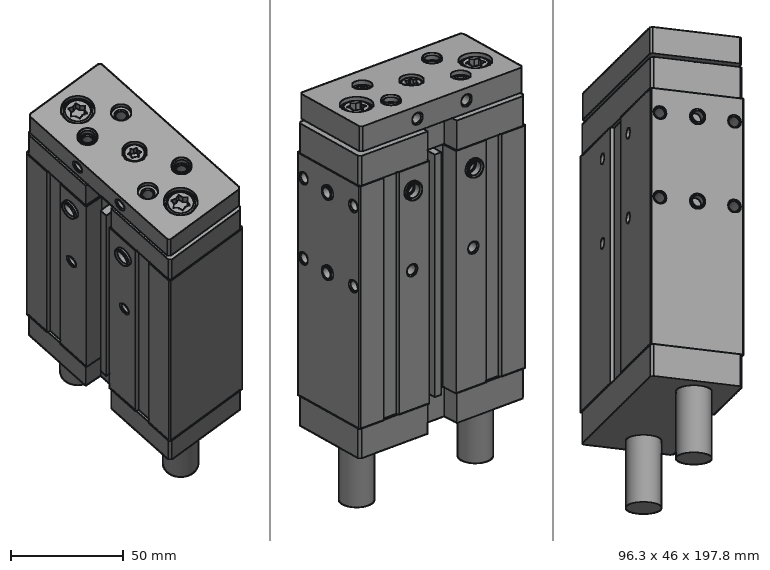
import cadquery as cq
import math


foot_bottom = 31.6
profile_bottom = 46.7
profile_top = 167.5
head_top = 182.4
plate_bottom = 184.3
plate_top = 196.8
plate_sleeve_top = 197.8
plate_thickness = plate_top - plate_bottom

profile_width = 95.3
profile_depth = 44.0
profile_chamfer = 0.5
notch_floor_y = -13.0
notch_width = 15.5
notch_flare = 0.4
rib_width = 3.8
rib_setback = 3.4
sensor_slot_offset = 29.3
sensor_slot_width = 8.9
sensor_slot_depth = 1.5
sensor_slot_flare = 0.5
back_recess_width = 14.2
back_recess_depth = 2.0

cap_width = 94.5
cap_depth = 43.1
cap_chamfer = 1.2
cap_notch_width = 16.8

plate_width = 93.0
plate_depth = 43.0
plate_chamfer = 1.0
guide_rod_diameter = 16.0
guide_rod_offset = 34.0
guide_rod_y = -3.2
piston_rod_diameter = 10.0

thread_diameter = 5.0
thread_mouth_diameter = 6.1
thread_depth = 9.9
drill_point_angle = 118.0

profile_hole_spacing = 35.0
profile_hole_offset = profile_hole_spacing / 2
upper_hole_z = 156.3
lower_hole_z = 116.3
plate_front_hole_offset = 14.0
plate_hole_x = 20.0
plate_hole_y = 10.0

sleeve_diameter = 9.0
sleeve_bore = 6.7
sleeve_tip_diameter = 8.5
sleeve_mouth_diameter = 8.1
sleeve_taper_length = 0.8
sleeve_seat_depth = 2.2
plate_sleeve_protrusion = plate_sleeve_top - plate_top
front_sleeve_protrusion = 2.0
side_sleeve_diameter = 7.0
side_sleeve_bore = 5.3
side_sleeve_protrusion = 1.0
side_sleeve_seat_depth = 3.0

screw_recess_depth = 2.2
screw_head_drop = 1.0
star_depth = 3.5
star_root_ratio = 0.7
star_tips = 6
guide_screw_recess = 15.0
guide_screw_head = 13.0
guide_screw_bevel = 0.8
guide_screw_star = 8.7
piston_screw_recess = 11.0
piston_screw_head = 10.0
piston_screw_bevel = 0.5
piston_screw_star = 6.0

BACKWARD = cq.Vector(0, 1, 0)
RIGHTWARD = cq.Vector(1, 0, 0)
DOWNWARD = cq.Vector(0, 0, -1)


def block(width, depth, bottom, top, center_y=0.0):
    """Upright block centred on X = 0."""
    base = cq.Workplane("XY", origin=(0, center_y, bottom))
    return base.rect(width, depth).extrude(top - bottom)


def cylinder(diameter, length, start, direction):
    """Cylinder that runs from start along direction."""
    solid = cq.Solid.makeCylinder(diameter / 2, length, cq.Vector(*start), direction)
    return cq.Workplane(obj=solid)


def cone(start_diameter, end_diameter, length, start, direction):
    """Cone that runs from start along direction."""
    solid = cq.Solid.makeCone(
        start_diameter / 2, end_diameter / 2, length, cq.Vector(*start), direction
    )
    return cq.Workplane(obj=solid)


def countersink(start, direction):
    """Conical mouth of a threaded hole."""
    depth = (thread_mouth_diameter - thread_diameter) / 2
    return cone(thread_mouth_diameter, thread_diameter, depth, start, direction)


def blind_thread(start, direction):
    """Blind threaded hole with a countersunk mouth and a conical end."""
    point_start = cq.Vector(*start) + direction * thread_depth
    point_length = thread_diameter / 2 / math.tan(math.radians(drill_point_angle / 2))
    hole = cylinder(thread_diameter, thread_depth, start, direction)
    point = cone(thread_diameter, 0, point_length, point_start.toTuple(), direction)
    return hole.union(point).union(countersink(start, direction))


def tube(diameter, bore_diameter, length, start, direction):
    """Round tube that runs from start along direction."""
    body = cylinder(diameter, length, start, direction)
    return body.cut(cylinder(bore_diameter, length, start, direction))


def sleeve_tip(mouth, protrusion, direction):
    """Outer end of a sleeve seated at a hole mouth; direction points into the hole."""
    return (cq.Vector(*mouth) - direction * protrusion).toTuple()


def large_sleeve(protrusion, mouth, direction):
    """Sleeve for the plate and the profile front, tapered outside and inside at its outer end."""
    tip = sleeve_tip(mouth, protrusion, direction)
    shoulder = (cq.Vector(*tip) + direction * sleeve_taper_length).toTuple()
    shank_length = protrusion + sleeve_seat_depth - sleeve_taper_length
    shank = tube(sleeve_diameter, sleeve_bore, shank_length, shoulder, direction)
    collar = cone(sleeve_tip_diameter, sleeve_diameter, sleeve_taper_length, tip, direction)
    collar = collar.cut(cone(sleeve_mouth_diameter, sleeve_bore, sleeve_taper_length, tip, direction))
    return shank.union(collar)


def small_sleeve(mouth):
    """Plain sleeve for the left side of the profile."""
    tip = sleeve_tip(mouth, side_sleeve_protrusion, RIGHTWARD)
    length = side_sleeve_protrusion + side_sleeve_seat_depth
    return tube(side_sleeve_diameter, side_sleeve_bore, length, tip, RIGHTWARD)


def groove(mouth_width, flare, front, floor, bottom, top, center_x=0.0):
    """Cutter for a vertical groove in a front face; each wall leans outward by flare."""
    half_mouth = mouth_width / 2
    half_floor = half_mouth - flare
    outline = [(-half_mouth, front), (-half_floor, floor), (half_floor, floor), (half_mouth, front)]
    base = cq.Workplane("XY", origin=(center_x, 0, bottom))
    return base.polyline(outline).close().extrude(top - bottom)


profile_front = -profile_depth / 2
profile_left = -profile_width / 2
upper_front_mouths = [(s * profile_hole_offset, profile_front, upper_hole_z) for s in (-1, 1)]
lower_front_mouths = [(s * profile_hole_offset, profile_front, lower_hole_z) for s in (-1, 1)]
side_sleeve_mouths = [(profile_left, 0, z) for z in (lower_hole_z, upper_hole_z)]
side_thread_mouths = [
    (profile_left, s * profile_hole_offset, z)
    for s in (-1, 1)
    for z in (lower_hole_z, upper_hole_z)
]
plate_mouths = [(x * plate_hole_x, y * plate_hole_y, plate_top) for x in (-1, 1) for y in (-1, 1)]
plate_sleeve_mouths = [(s * plate_hole_x, s * plate_hole_y, plate_top) for s in (-1, 1)]
guide_rod_places = [(s * guide_rod_offset, guide_rod_y) for s in (-1, 1)]


def guide_rod(x, y):
    """Guide rod from its free lower end to the plate."""
    return cylinder(guide_rod_diameter, plate_bottom, (x, y, 0), cq.Vector(0, 0, 1))


def piston_rod():
    """Piston rod from the top of the profile to the plate."""
    length = plate_bottom - profile_top
    return cylinder(piston_rod_diameter, length, (0, 0, profile_top), cq.Vector(0, 0, 1))


def front_groove(width, flare, floor, center_x=0.0):
    """Groove cutter over the full height of the profile front."""
    return groove(width, flare, profile_front, floor, profile_bottom, profile_top, center_x)


def make_profile():
    """Extruded profile with its slots, side holes and guide rod bores."""
    body = block(profile_width, profile_depth, profile_bottom, profile_top)
    body = body.edges("|Z").chamfer(profile_chamfer)

    body = body.cut(front_groove(notch_width, notch_flare, notch_floor_y))
    rib_height = notch_floor_y - profile_front - rib_setback
    rib = block(rib_width, rib_height, profile_bottom, profile_top, notch_floor_y - rib_height / 2)
    body = body.union(rib)

    slot_floor_y = profile_front + sensor_slot_depth
    for x in (-sensor_slot_offset, sensor_slot_offset):
        body = body.cut(front_groove(sensor_slot_width, sensor_slot_flare, slot_floor_y, x))
    profile_back = profile_depth / 2
    body = body.cut(
        block(back_recess_width, 2 * back_recess_depth, profile_bottom, profile_top, profile_back)
    )

    for mouth in upper_front_mouths + lower_front_mouths:
        body = body.cut(cylinder(thread_diameter, profile_depth, mouth, BACKWARD))
    for mouth in upper_front_mouths:
        body = body.cut(cylinder(sleeve_diameter, sleeve_seat_depth, mouth, BACKWARD))
    for mouth in lower_front_mouths:
        body = body.cut(countersink(mouth, BACKWARD))

    for mouth in side_thread_mouths:
        body = body.cut(blind_thread(mouth, RIGHTWARD))
    for mouth in side_sleeve_mouths:
        body = body.cut(cylinder(side_sleeve_diameter, side_sleeve_seat_depth, mouth, RIGHTWARD))

    for place in guide_rod_places:
        body = body.cut(guide_rod(*place))
    return body


def make_cap(bottom, top):
    """End cap with the front notch and the guide rod bores."""
    body = block(cap_width, cap_depth, bottom, top).edges("|Z").chamfer(cap_chamfer)
    body = body.cut(groove(cap_notch_width, notch_flare, -cap_depth / 2, notch_floor_y, bottom, top))
    for place in guide_rod_places:
        body = body.cut(guide_rod(*place))
    return body


def star(center, tip_radius, root_radius, first_tip_angle, depth):
    """Six-pointed star socket sunk from center downward."""
    points = []
    for i in range(2 * star_tips):
        radius = tip_radius if i % 2 == 0 else root_radius
        angle = math.radians(first_tip_angle) + i * math.pi / star_tips
        points.append((radius * math.cos(angle), radius * math.sin(angle)))
    return cq.Workplane("XY", origin=center).polyline(points).close().extrude(-depth)


def add_screw_head(body, x, y, recess, head, bevel, star_size, first_tip_angle):
    """Screw head standing in a round recess of the plate top, with a star socket."""
    head_z = plate_top - screw_head_drop
    body = body.cut(cylinder(recess, screw_recess_depth, (x, y, plate_top), DOWNWARD))
    screw_head = cylinder(head, screw_recess_depth - screw_head_drop, (x, y, head_z), DOWNWARD)
    body = body.union(screw_head.faces(">Z").chamfer(bevel))
    root_size = star_size * star_root_ratio
    return body.cut(star((x, y, head_z), star_size / 2, root_size / 2, first_tip_angle, star_depth))


def make_yoke():
    """Tool plate with the guide rods, the piston rod and their screw heads."""
    body = block(plate_width, plate_depth, plate_bottom, plate_top).edges("|Z").chamfer(plate_chamfer)
    for mouth in plate_mouths:
        body = body.cut(cylinder(sleeve_diameter, sleeve_seat_depth, mouth, DOWNWARD))
        body = body.cut(cylinder(thread_diameter, plate_thickness, mouth, DOWNWARD))
        seat = (mouth[0], mouth[1], plate_top - sleeve_seat_depth)
        body = body.cut(countersink(seat, DOWNWARD))
    for side in (-1, 1):
        mouth = (side * plate_front_hole_offset, -plate_depth / 2, plate_bottom + plate_thickness / 2)
        body = body.cut(blind_thread(mouth, BACKWARD))
    for x, y in guide_rod_places:
        body = body.union(guide_rod(x, y))
        body = add_screw_head(
            body, x, y, guide_screw_recess, guide_screw_head, guide_screw_bevel, guide_screw_star, 90
        )
    body = body.union(piston_rod())
    return add_screw_head(
        body, 0, 0, piston_screw_recess, piston_screw_head, piston_screw_bevel, piston_screw_star, 0
    )


profile = make_profile()
head_cap = make_cap(profile_top, head_top).cut(piston_rod())
foot_cap = make_cap(foot_bottom, profile_bottom)
yoke = make_yoke()
plate_sleeves = [
    large_sleeve(plate_sleeve_protrusion, mouth, DOWNWARD) for mouth in plate_sleeve_mouths
]
front_sleeves = [
    large_sleeve(front_sleeve_protrusion, mouth, BACKWARD) for mouth in upper_front_mouths
]
side_sleeves = [small_sleeve(mouth) for mouth in side_sleeve_mouths]
sleeves = plate_sleeves + front_sleeves + side_sleeves

result = cq.Compound.makeCompound(
    [profile.val(), head_cap.val(), foot_cap.val(), yoke.val(), *[s.val() for s in sleeves]]
)